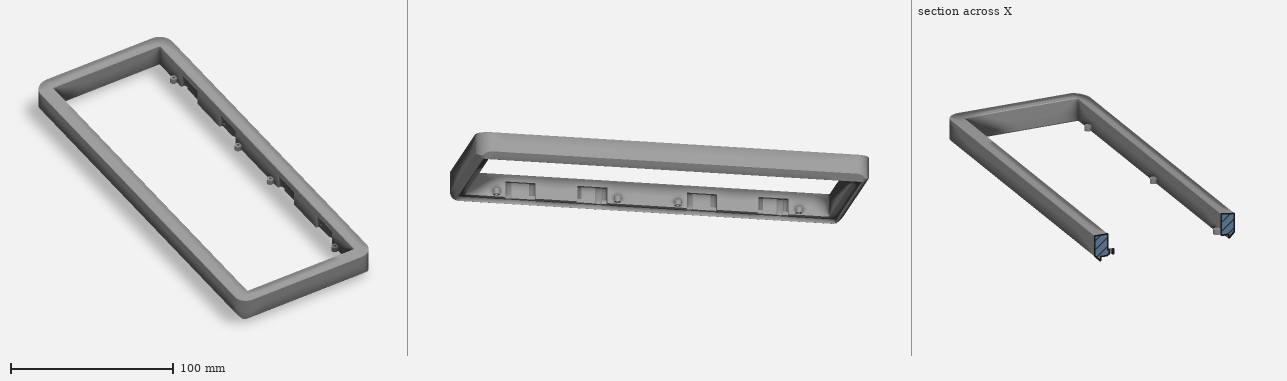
import cadquery as cq
length = 247.6
width = 95.2
height = 17.5
border = 9.1
outer_radius = border
opening_length = length - 2 * border
opening_width = width - 2 * border
opening_radius = 0.8

front_drop = 1.2
top_easing = 0.25
opening_easing = 0.4

chamfer_run = 3.9
chamfer_rise = 3.9
mitre_radius = 3.0
recess_depth = 2.8
recess_width = 5.0

boss_diameter = 4.2
boss_hole_diameter = 1.8
boss_bottom = 3.4
boss_top = 6.8
boss_offset = 1.9
boss_neck_width = 3.4
end_boss_x = 95.2
inner_boss_x = 19.0
front_left_boss_x = -92.5
rear_boss_x = (-end_boss_x, -inner_boss_x, inner_boss_x, end_boss_x)
front_boss_x = (front_left_boss_x, 0, end_boss_x)

pocket_length = 18.9
pocket_height = 10.0
pocket_depth = 2.1
scoop_depth = 1.0
wide_slot_chord = 3.6
narrow_slot_chord = 3.0
slot_floor_thickness = 2.2
groove_chord = 4.2
pocket_shift = 22.6
half_centre_x = (end_boss_x + inner_boss_x) / 2
grooved_pocket_x = (-half_centre_x - pocket_shift, half_centre_x - pocket_shift)
slotted_pocket_x = (-half_centre_x + pocket_shift, half_centre_x + pocket_shift)

margin = 0.01

inner_wall = opening_width / 2
pocket_top = recess_depth + pocket_height
slot_bottom = recess_depth + slot_floor_thickness


def block(size_x, size_y, bottom, top):
    """Box centred on the Z axis between two heights."""
    return cq.Workplane("XY").workplane(offset=bottom).rect(size_x, size_y).extrude(top - bottom)


def post(x, y, diameter, bottom, top):
    """Vertical cylinder between two heights."""
    return cq.Workplane("XY", origin=(x, y, bottom)).circle(diameter / 2).extrude(top - bottom)


def chamfered_block():
    """Sharp-cornered block chamfered underneath, with the mitres between chamfers rounded."""
    body = block(length, width, 0, height).faces("<Z").chamfer(chamfer_rise, chamfer_run)
    mitres = cq.selectors.BoxSelector((-length, -width, margin), (length, width, chamfer_rise - margin))
    return body.edges(mitres).fillet(mitre_radius)


def front_slope():
    """Wedge above the sloping top of the front bar."""
    return (
        cq.Workplane("YZ")
        .polyline([
            (-inner_wall, height),
            (-width / 2, height - front_drop),
            (-width / 2, height),
        ])
        .close()
        .extrude(length / 2, both=True)
    )


def eased_opening():
    """Cutter for the opening, flared at 45 degrees to break its top edge."""
    shaft = block(opening_length, opening_width, 0, height).edges("|Z").fillet(opening_radius)
    flare = (
        cq.Workplane("XY", origin=(0, 0, height))
        .sketch()
        .rect(opening_length + 2 * opening_easing, opening_width + 2 * opening_easing)
        .vertices()
        .fillet(opening_radius + opening_easing)
        .finalize()
        .extrude(-opening_easing, taper=45)
    )
    return shaft.union(flare)


def eased_rim(body):
    """Chamfer the outer rim of the top, leaving the crease where the front slope begins."""
    level_rim = cq.selectors.BoxSelector(
        (-length, margin - inner_wall, height - margin),
        (length, width, height + margin),
    )
    sloping_rim = cq.selectors.BoxSelector(
        (-length, -width, height - front_drop - margin),
        (length, -inner_wall - margin, height - margin),
    )
    return body.edges(level_rim + sloping_rim).chamfer(top_easing)


def frame():
    """Hollow frame without bosses and pockets."""
    rounded = block(length, width, 0, height).edges("|Z").fillet(outer_radius)
    recess = block(
        opening_length + 2 * recess_width,
        opening_width + 2 * recess_width,
        0,
        recess_depth,
    )
    body = chamfered_block().intersect(rounded).cut(front_slope())
    return eased_rim(body).cut(eased_opening()).cut(recess)


def boss(x, side):
    """Drilled boss joined to the rear (side = 1) or front (side = -1) inner wall."""
    y = side * (inner_wall - boss_offset)
    neck_y = y + side * boss_offset / 2
    neck = block(boss_neck_width, boss_offset, boss_bottom, boss_top).translate((x, neck_y, 0))
    hole = post(x, y, boss_hole_diameter, boss_bottom, boss_top)
    return post(x, y, boss_diameter, boss_bottom, boss_top).union(neck).cut(hole)


def scoop(x, chord, bottom):
    """Shallow arc-shaped channel sunk into the back face of a pocket."""
    back = inner_wall + pocket_depth
    return (
        cq.Workplane("XY", origin=(x, back, bottom))
        .moveTo(-chord / 2, 0)
        .threePointArc((0, scoop_depth), (chord / 2, 0))
        .close()
        .extrude(pocket_top - bottom)
    )


def pocket(x):
    """Pocket in the rear wall, open at its lower end."""
    cutter = block(pocket_length, 2 * pocket_depth, recess_depth, pocket_top)
    return cutter.translate((x, inner_wall, 0))


def grooved_pocket(x):
    """Pocket with an open groove along its left side and a blind slot along its right side."""
    groove_x = x - (pocket_length - groove_chord) / 2
    slot_x = x + (pocket_length - wide_slot_chord) / 2
    return (
        pocket(x)
        .union(scoop(groove_x, groove_chord, recess_depth))
        .union(scoop(slot_x, wide_slot_chord, slot_bottom))
    )


def slotted_pocket(x):
    """Pocket with a blind slot along each side and an open groove beside the right slot."""
    slot_shift = (pocket_length - narrow_slot_chord) / 2
    groove_x = x + pocket_length / 2 - narrow_slot_chord - groove_chord / 2
    return (
        pocket(x)
        .union(scoop(x - slot_shift, narrow_slot_chord, slot_bottom))
        .union(scoop(x + slot_shift, narrow_slot_chord, slot_bottom))
        .union(scoop(groove_x, groove_chord, recess_depth))
    )


result = frame()
for x in grooved_pocket_x:
    result = result.cut(grooved_pocket(x))
for x in slotted_pocket_x:
    result = result.cut(slotted_pocket(x))
for x in rear_boss_x:
    result = result.union(boss(x, 1))
for x in front_boss_x:
    result = result.union(boss(x, -1))